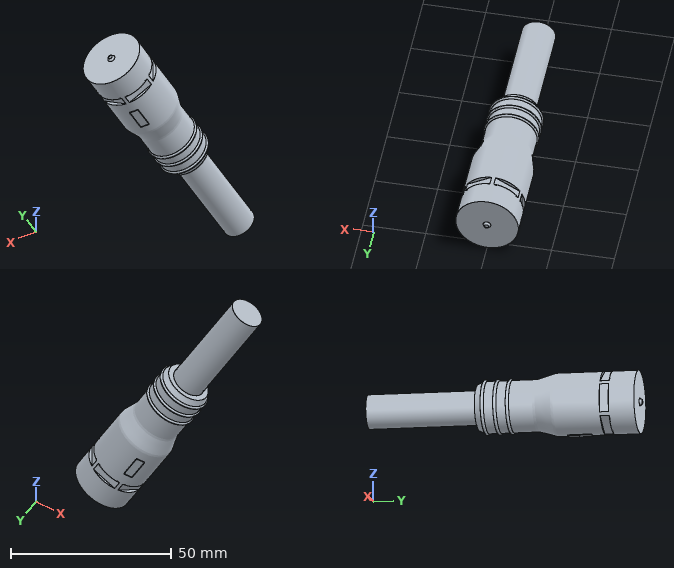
import cadquery as cq
import math


CABLE_RADIUS = 5.5
CABLE_LENGTH = 35.0

TOTAL_LENGTH = 87.0
NUB_HEIGHT = 0.8
SHOULDER_START = 26.2
SHOULDER_END = 32.2
FIRST_RIB = 40.7
RIB_PITCH = 4.0
RIB_COUNT = 3
TAPER_START = 49.15

HEAD_RADIUS = 10.0
NECK_RADIUS = 8.3
TAIL_RADIUS = 7.3
RIB_RADIUS = 0.5
SHOULDER_BLEND = 3.05

FLAT_COUNT = 6
FLAT_DISTANCE = 9.0
FLAT_START = 8.2
FLAT_WIDTH = 2.9

NUB_BASE_RADIUS = 1.2
NUB_TIP_RADIUS = 0.7

PAD_START = 15.1
PAD_LENGTH = 7.6
PAD_WIDTH = 3.0
PAD_RAISE = 0.2

END_FACE = TOTAL_LENGTH - NUB_HEIGHT


def station(distance):
    """Y position at a distance from the +Y end face of the housing."""
    return END_FACE - distance


def turn(profile):
    """Solid of revolution about Y from an outline of (radius, Y) points."""
    return cq.Workplane("ZY").polyline(profile).close().revolve(360, (0, 0, 0), (0, 1, 0))


def make_sleeve():
    """Head, conical shoulder, neck and tapered tail as one turned shape."""
    profile = [
        (0, END_FACE),
        (HEAD_RADIUS, END_FACE),
        (HEAD_RADIUS, station(SHOULDER_START)),
        (NECK_RADIUS, station(SHOULDER_END)),
        (NECK_RADIUS, station(TAPER_START)),
        (TAIL_RADIUS, CABLE_LENGTH),
        (0, CABLE_LENGTH),
    ]
    sleeve = turn(profile)

    def is_shoulder_edge(edge):
        y = edge.Center().y
        at_start = math.isclose(y, station(SHOULDER_START), abs_tol=0.01)
        at_end = math.isclose(y, station(SHOULDER_END), abs_tol=0.01)
        return edge.geomType() == "CIRCLE" and (at_start or at_end)

    shoulder_edges = [edge for edge in sleeve.edges().vals() if is_shoulder_edge(edge)]
    return sleeve.newObject(shoulder_edges).fillet(SHOULDER_BLEND)


def make_rib(distance):
    """Ring of round section, half buried in the neck."""
    return (
        cq.Workplane("ZY")
        .center(NECK_RADIUS, station(distance))
        .circle(RIB_RADIUS)
        .revolve(360, (-NECK_RADIUS, 0, 0), (-NECK_RADIUS, 1, 0))
    )


def make_flat_cutter(index):
    """Block that leaves one flat, its inner face FLAT_DISTANCE from the axis."""
    block = cq.Workplane("XY").box(
        HEAD_RADIUS, FLAT_WIDTH, 2 * HEAD_RADIUS, centered=(False, False, True)
    )
    placed = block.translate((FLAT_DISTANCE, station(FLAT_START + FLAT_WIDTH), 0))
    return placed.rotate((0, 0, 0), (0, 1, 0), index * 360 / FLAT_COUNT)


def make_nub():
    """Small cone frustum standing on the +Y end face."""
    profile = [
        (0, END_FACE),
        (NUB_BASE_RADIUS, END_FACE),
        (NUB_TIP_RADIUS, TOTAL_LENGTH),
        (0, TOTAL_LENGTH),
    ]
    return turn(profile)


def make_pad():
    """Flat pad standing PAD_RAISE proud of the underside, rooted in the head."""
    pad_height = HEAD_RADIUS - NECK_RADIUS + PAD_RAISE
    pad = cq.Workplane("XY").box(
        PAD_WIDTH, PAD_LENGTH, pad_height, centered=(True, False, False)
    )
    return pad.translate((0, station(PAD_START + PAD_LENGTH), -HEAD_RADIUS - PAD_RAISE))


def make_housing():
    housing = make_sleeve()
    for index in range(RIB_COUNT):
        housing = housing.union(make_rib(FIRST_RIB + index * RIB_PITCH))
    for index in range(FLAT_COUNT):
        housing = housing.cut(make_flat_cutter(index))
    return housing.union(make_nub()).union(make_pad())


def make_cable():
    """Plain round cable that butts against the tail of the housing."""
    profile = [
        (0, 0),
        (CABLE_RADIUS, 0),
        (CABLE_RADIUS, CABLE_LENGTH),
        (0, CABLE_LENGTH),
    ]
    return turn(profile)


housing = make_housing()
cable = make_cable()

result = cq.Compound.makeCompound([housing.val(), cable.val()])